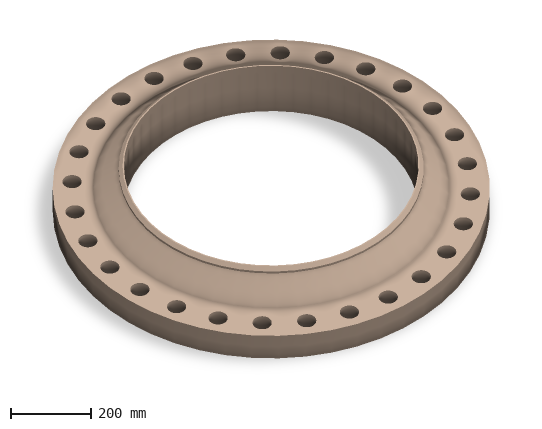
import cadquery as cq

total_height = 154.0
flange_top = 79.0
raised_face_height = 2.0
bevel_height = 9.0
land_height = 7.0

flange_radius = 1092 / 2
raised_face_radius = 473.0
hub_base_radius = 447.0
weld_end_radius = 381.0
bevel_top_radius = 371.0
bore_radius = 368.0
hub_fillet_radius = 5.0

bolt_count = 28
bolt_circle_radius = 498.0
bolt_hole_diameter = 48.0

bevel_bottom = total_height - bevel_height
land_bottom = bevel_bottom - land_height


def make_body():
    """Revolve the half section of the welding-neck flange about Z."""
    half_section = (
        cq.Workplane("XZ")
        .moveTo(bore_radius, 0)
        .lineTo(raised_face_radius, 0)
        .lineTo(raised_face_radius, raised_face_height)
        .lineTo(flange_radius, raised_face_height)
        .lineTo(flange_radius, flange_top)
        .lineTo(hub_base_radius, flange_top)
        .lineTo(weld_end_radius, land_bottom)
        .lineTo(weld_end_radius, bevel_bottom)
        .lineTo(bevel_top_radius, total_height)
        .lineTo(bore_radius, total_height)
        .close()
    )
    return half_section.revolve(360, (0, 0, 0), (0, 1, 0))


def fillet_hub_base(body):
    """Round the inside corner between the tapered hub and the bolting ring."""
    margin = hub_fillet_radius
    corner = cq.selectors.BoxSelector(
        (-hub_base_radius - margin, -hub_base_radius - margin, flange_top - margin),
        (hub_base_radius + margin, hub_base_radius + margin, flange_top + margin),
        boundingbox=True,
    )
    return body.edges(corner).edges("%CIRCLE").fillet(hub_fillet_radius)


def drill_bolt_holes(body):
    """Cut the ring of through holes, the first one on the +X axis."""
    holes = (
        cq.Workplane("XY")
        .polarArray(bolt_circle_radius, 0, 360, bolt_count)
        .circle(bolt_hole_diameter / 2)
        .extrude(total_height)
    )
    return body.cut(holes)


result = drill_bolt_holes(fillet_hub_base(make_body()))